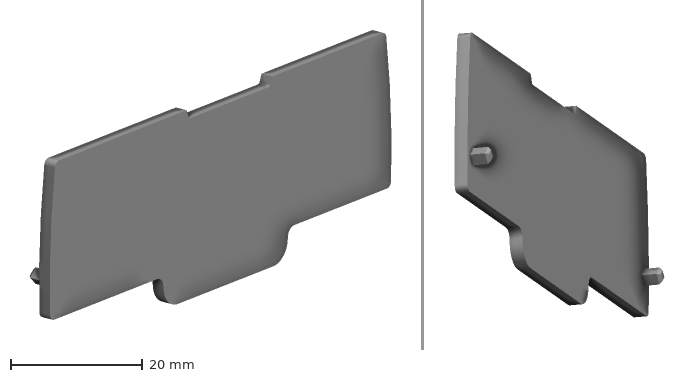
import cadquery as cq
import math

width = 82.07
height = 30.6
plate_thickness = 2.1
end_bow_radius = 140.0
top_corner_radius = 1.0
bottom_corner_radius = 1.0

tab_width = 30.3
tab_depth = 5.3
tab_center_y = 1.2
tab_wall_angle = 7.0
tab_corner_radius = 3.5
tab_root_radius = 1.5

notch_width = 20.5
notch_depth = 1.5
notch_center_y = 2.1
notch_wall_angle = 20.0
notch_root_radius = 0.5

peg_spacing = 77.6
peg_side = 1.9
peg_turn = 45.0
peg_length = 3.0
peg_drop = 19.5
peg_tip_inset = 0.35
peg_tip_length = 0.5

half_width = width / 2
bottom_z = 0.0
top_z = height
wing_z = bottom_z + tab_depth
notch_z = top_z - notch_depth
peg_z = top_z - peg_drop


def end_y(z):
    """Half width of the plate at height z; the ends are widest at peg height."""
    inset = end_bow_radius - math.sqrt(end_bow_radius**2 - (z - peg_z) ** 2)
    return half_width - inset


def round_corners(plate, z, half_spacing, center_y, radius):
    """Fillet the pair of X-parallel edges at height z, half_spacing either side of center_y."""
    middle_x = plate_thickness / 2
    for side in (-1, 1):
        corner = (middle_x, center_y + side * half_spacing, z)
        plate = plate.edges(cq.selectors.NearestToPointSelector(corner)).fillet(radius)
    return plate


def make_plate():
    """Bowed-end plate with the tab and notch in its outline and all corners rounded."""
    tab_half = tab_width / 2
    tab_bottom_half = tab_half - tab_depth * math.tan(math.radians(tab_wall_angle))
    notch_half = notch_width / 2
    notch_bottom_half = notch_half - notch_depth * math.tan(math.radians(notch_wall_angle))
    plate = (
        cq.Workplane("YZ")
        .moveTo(-end_y(wing_z), wing_z)
        .lineTo(tab_center_y - tab_half, wing_z)
        .lineTo(tab_center_y - tab_bottom_half, bottom_z)
        .lineTo(tab_center_y + tab_bottom_half, bottom_z)
        .lineTo(tab_center_y + tab_half, wing_z)
        .lineTo(end_y(wing_z), wing_z)
        .threePointArc((half_width, peg_z), (end_y(top_z), top_z))
        .lineTo(notch_center_y + notch_half, top_z)
        .lineTo(notch_center_y + notch_bottom_half, notch_z)
        .lineTo(notch_center_y - notch_bottom_half, notch_z)
        .lineTo(notch_center_y - notch_half, top_z)
        .lineTo(-end_y(top_z), top_z)
        .threePointArc((-half_width, peg_z), (-end_y(wing_z), wing_z))
        .close()
        .extrude(plate_thickness)
    )
    plate = round_corners(plate, bottom_z, tab_bottom_half, tab_center_y, tab_corner_radius)
    plate = round_corners(plate, wing_z, tab_half, tab_center_y, tab_root_radius)
    plate = round_corners(plate, notch_z, notch_bottom_half, notch_center_y, notch_root_radius)
    plate = round_corners(plate, wing_z, end_y(wing_z), 0, bottom_corner_radius)
    return round_corners(plate, top_z, end_y(top_z), 0, top_corner_radius)


def make_peg(y):
    """Square peg standing on a corner, with a tapered tip."""
    shank_length = peg_length - peg_tip_length
    tip_side = peg_side - 2 * peg_tip_inset
    shank = cq.Workplane("YZ").rect(peg_side, peg_side).extrude(-shank_length)
    tip = (
        cq.Workplane("YZ", origin=(-shank_length, 0, 0))
        .rect(peg_side, peg_side)
        .workplane(offset=-peg_tip_length)
        .rect(tip_side, tip_side)
        .loft()
    )
    peg = shank.union(tip).rotate((0, 0, 0), (1, 0, 0), peg_turn)
    return peg.translate((0, y, peg_z))


result = make_plate()
for side in (-1, 1):
    result = result.union(make_peg(side * peg_spacing / 2))